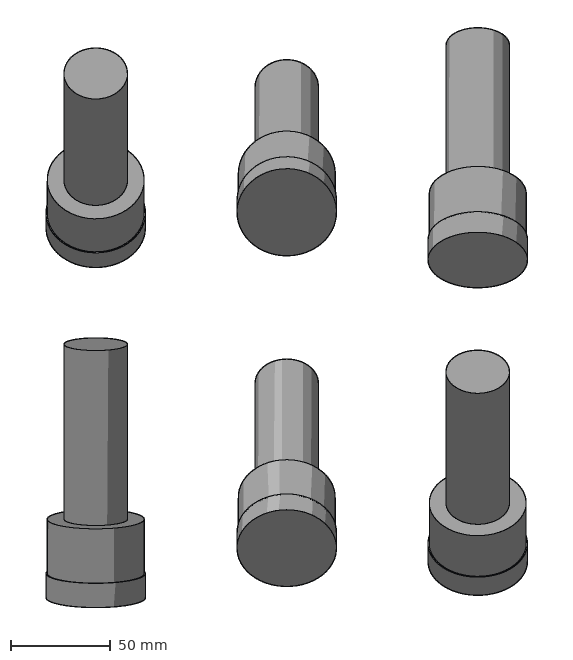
import cadquery as cq

total_height = 130.0
base_diameter = 50.0
base_height = 12.5
collar_diameter = 48.8
collar_top = 40.3
shaft_diameter = 32.0


def cylinder(diameter, bottom, top):
    """Upright cylinder on the Z axis between two heights."""
    return cq.Workplane("XY").workplane(offset=bottom).circle(diameter / 2).extrude(top - bottom)


base = cylinder(base_diameter, 0, base_height)
collar = cylinder(collar_diameter, base_height, collar_top)
shaft = cylinder(shaft_diameter, collar_top, total_height)

result = base.union(collar).union(shaft)